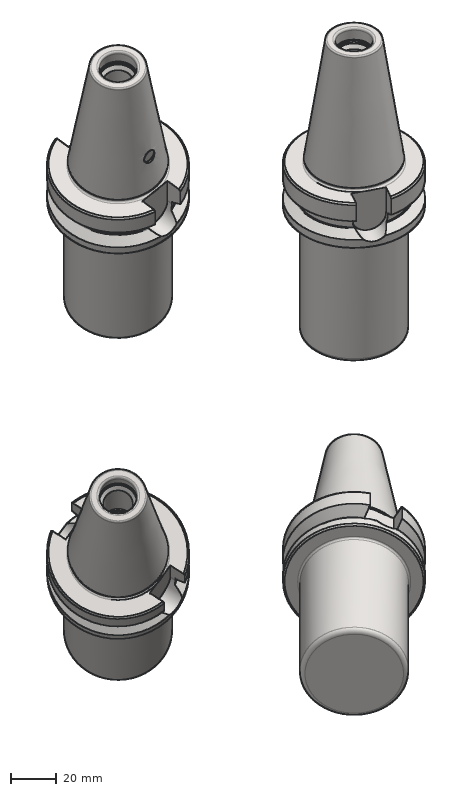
import cadquery as cq
import math

total_length = 160.4
taper_length = 65.5
neck_length = 2.0
flange_length = 25.0

gauge_z = total_length - taper_length
flange_top_z = gauge_z - neck_length
flange_bottom_z = flange_top_z - flange_length

gauge_radius = 22.3
taper_ratio = 7 / 24
taper_end_radius = gauge_radius - taper_length * taper_ratio / 2
taper_end_fillet = 0.8
neck_relief = 0.5
neck_radius = gauge_radius - neck_relief
neck_root_fillet = 1.0

flange_radius = 31.52
flange_chamfer = 0.8
groove_floor_radius = 26.5
groove_floor_width = 4.5
groove_centre_z = 78.3
groove_flank_angle = 30.0
groove_root_fillet = 0.5
groove_flank_height = (flange_radius - groove_floor_radius) * math.tan(math.radians(groove_flank_angle))

body_radius = 24.0
body_end_fillet = 2.2
flange_root_fillet = 1.0

slot_width = 16.0
slot_floor_x = 22.6
slot_end_z = 71.4

pilot_radius = 8.3
pilot_depth = 6.4
mouth_fillet = 1.1
relief_radius = 8.7
relief_width = 2.2
relief_flare_height = 0.6
thread_radius = 6.5
thread_depth = 32.0
coolant_radius = 5.3
coolant_depth = 41.7
coolant_chamfer = 0.5
coolant_floor_radius = 4.3

side_pocket_radius = 3.2
side_pocket_z = 114.2
side_pocket_floor_x = 19.0


def make_turned_blank():
    """Revolve the outer profile of taper, neck, grooved flange and body."""
    floor_top_z = groove_centre_z + groove_floor_width / 2
    floor_bottom_z = groove_centre_z - groove_floor_width / 2
    flank_angle = math.radians(groove_flank_angle)
    tangent_length = groove_root_fillet * math.tan((math.pi / 2 - flank_angle) / 2)
    flank_tangent_radius = groove_floor_radius + tangent_length * math.cos(flank_angle)
    flank_tangent_rise = tangent_length * math.sin(flank_angle)
    profile = (
        cq.Workplane("YZ")
        .lineTo(body_radius, 0)
        .lineTo(body_radius, flange_bottom_z)
        .lineTo(flange_radius - flange_chamfer, flange_bottom_z)
        .lineTo(flange_radius, flange_bottom_z + flange_chamfer)
        .lineTo(flange_radius, floor_bottom_z - groove_flank_height)
        .lineTo(flank_tangent_radius, floor_bottom_z - flank_tangent_rise)
        .radiusArc((groove_floor_radius, floor_bottom_z + tangent_length), groove_root_fillet)
        .lineTo(groove_floor_radius, floor_top_z - tangent_length)
        .radiusArc((flank_tangent_radius, floor_top_z + flank_tangent_rise), groove_root_fillet)
        .lineTo(flange_radius, floor_top_z + groove_flank_height)
        .lineTo(flange_radius, flange_top_z - flange_chamfer)
        .lineTo(flange_radius - flange_chamfer, flange_top_z)
        .lineTo(neck_radius, flange_top_z)
        .lineTo(neck_radius, gauge_z - neck_relief)
        .lineTo(gauge_radius, gauge_z)
        .lineTo(taper_end_radius, total_length)
        .lineTo(0, total_length)
        .close()
    )
    blank = profile.revolve(360, (0, 0, 0), (0, 1, 0))

    edge_fillets = (
        (body_radius, 0, body_end_fillet),
        (body_radius, flange_bottom_z, flange_root_fillet),
        (neck_radius, flange_top_z, neck_root_fillet),
        (taper_end_radius, total_length, taper_end_fillet),
    )
    for edge_radius, edge_z, fillet_radius in edge_fillets:
        blank = fillet_circle(blank, edge_radius, edge_z, fillet_radius)
    return blank


def fillet_circle(solid, edge_radius, edge_z, fillet_radius):
    """Round the circular edge that has the given radius and height."""
    tolerance = 0.02
    reach = edge_radius + tolerance
    edges = solid.edges(
        cq.selectors.BoxSelector(
            (-reach, -reach, edge_z - tolerance),
            (reach, reach, edge_z + tolerance),
            boundingbox=True,
        )
    ).edges(cq.selectors.RadiusNthSelector(-1))
    return edges.fillet(fillet_radius)


def make_drive_slot(side):
    """Round-ended slot cutter on the +X (side = 1) or -X (side = -1) rim."""
    half_width = slot_width / 2
    round_centre_z = slot_end_z + half_width
    return (
        cq.Workplane("YZ", origin=(side * slot_floor_x, 0, 0))
        .moveTo(-half_width, flange_top_z)
        .lineTo(-half_width, round_centre_z)
        .threePointArc((0, slot_end_z), (half_width, round_centre_z))
        .lineTo(half_width, flange_top_z)
        .close()
        .extrude(side * flange_radius)
    )


def make_pull_stud_bore():
    """Revolve the stepped bore that opens at the small end of the taper."""
    pilot_bottom_z = total_length - pilot_depth
    relief_bottom_z = pilot_bottom_z - relief_width
    thread_top_z = relief_bottom_z - (pilot_radius - thread_radius)
    thread_bottom_z = total_length - thread_depth
    coolant_bottom_z = total_length - coolant_depth
    profile = (
        cq.Workplane("YZ")
        .moveTo(0, total_length)
        .lineTo(pilot_radius + mouth_fillet, total_length)
        .radiusArc((pilot_radius, total_length - mouth_fillet), -mouth_fillet)
        .lineTo(pilot_radius, pilot_bottom_z)
        .lineTo(relief_radius, pilot_bottom_z - relief_flare_height)
        .lineTo(relief_radius, relief_bottom_z + relief_flare_height)
        .lineTo(pilot_radius, relief_bottom_z)
        .lineTo(thread_radius, thread_top_z)
        .lineTo(thread_radius, thread_bottom_z)
        .lineTo(coolant_radius + coolant_chamfer, thread_bottom_z)
        .lineTo(coolant_radius, thread_bottom_z - coolant_chamfer)
        .lineTo(coolant_radius, coolant_bottom_z + coolant_radius - coolant_floor_radius)
        .lineTo(coolant_floor_radius, coolant_bottom_z)
        .lineTo(0, coolant_bottom_z)
        .close()
    )
    return profile.revolve(360, (0, 0, 0), (0, 1, 0))


def make_side_pocket():
    """Flat-floored round cutter along +X, from the pocket floor out past the taper."""
    return (
        cq.Workplane("YZ", origin=(side_pocket_floor_x, 0, side_pocket_z))
        .circle(side_pocket_radius)
        .extrude(gauge_radius - side_pocket_floor_x)
    )


result = make_turned_blank().cut(make_pull_stud_bore()).cut(make_side_pocket())
for slot_side in (1, -1):
    result = result.cut(make_drive_slot(slot_side))